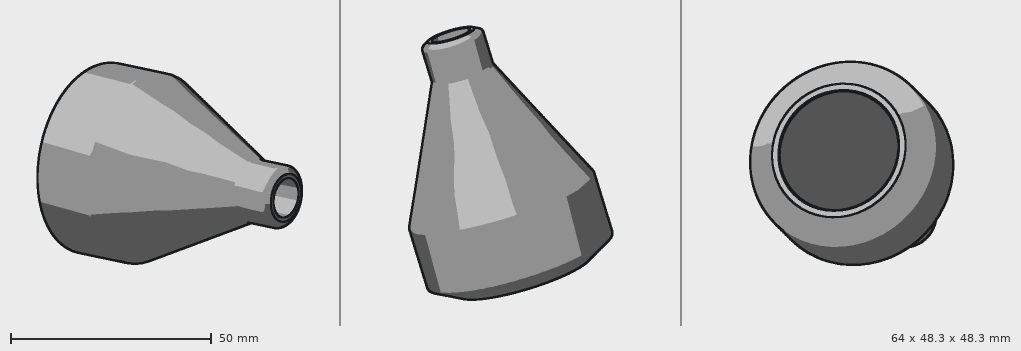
import cadquery as cq

total_length = 64.0
front_chamfer_length = 4.0
body_end = 20.0
neck_start = 53.95
tip_chamfer_length = 1.1
bore_depth = 12.0
funnel_end = 53.95

front_face_diameter = 34.55
body_diameter = 48.3
neck_diameter = 16.0
tip_diameter = 12.15
bore_diameter = 30.7
outlet_diameter = 10.0

body_fillet = 0.8
neck_fillet = 1.35
tip_fillet = 1.15
mouth_chamfer = 0.25


def revolve_about_x(half_profile):
    """Revolve a list of (x, radius) points about the X axis."""
    return cq.Workplane("XY").polyline(half_profile).close().revolve(360, (0, 0, 0), (1, 0, 0))


def ring_edges(solid, x, diameter):
    """Select the circular edge of the given diameter at the given X."""
    margin = 0.05
    reach = diameter / 2 + margin
    box = cq.selectors.BoxSelector((x - margin, -reach, -reach), (x + margin, reach, reach), boundingbox=True)
    return solid.edges(box)


def make_outer_body():
    """Chamfered cylinder tapering down to a chamfered neck."""
    tip_chamfer_start = total_length - tip_chamfer_length
    body = revolve_about_x([
        (0, 0),
        (0, front_face_diameter / 2),
        (front_chamfer_length, body_diameter / 2),
        (body_end, body_diameter / 2),
        (neck_start, neck_diameter / 2),
        (tip_chamfer_start, neck_diameter / 2),
        (total_length, tip_diameter / 2),
        (total_length, 0),
    ])
    body = ring_edges(body, front_chamfer_length, body_diameter).fillet(body_fillet)
    body = ring_edges(body, body_end, body_diameter).fillet(body_fillet)
    body = ring_edges(body, neck_start, neck_diameter).fillet(neck_fillet)
    return ring_edges(body, tip_chamfer_start, neck_diameter).fillet(tip_fillet)


def make_passage():
    """Straight bore with a chamfered mouth, then a funnel into the outlet hole."""
    return revolve_about_x([
        (0, 0),
        (0, bore_diameter / 2 + mouth_chamfer),
        (mouth_chamfer, bore_diameter / 2),
        (bore_depth, bore_diameter / 2),
        (funnel_end, outlet_diameter / 2),
        (total_length, outlet_diameter / 2),
        (total_length, 0),
    ])


result = make_outer_body().cut(make_passage())